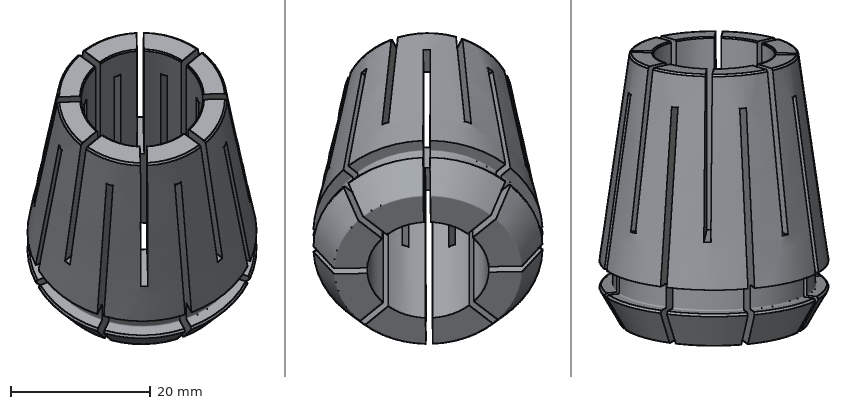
import cadquery as cq
import math

total_height = 40.0
cone_base_z = 9.1
groove_base_z = 5.5
rim_z = 5.15
nose_slot_top_z = 35.0
tail_slot_floor_z = 16.0

max_radius = 16.5
groove_radius = 14.6
nose_radius = 13.5
bore_radius = 17.5 / 2
cone_angle = 8.0

rim_chamfer = 0.3
tail_chamfer = 0.3
bore_chamfer = 0.2
groove_fillet = 0.2
nose_fillet = 0.2

slot_count = 8
slot_width = 1.0
slot_pitch = 360.0 / slot_count


def cone_radius(z):
    """Outer radius of the long clamping cone at height z."""
    return max_radius - (z - cone_base_z) * math.tan(math.radians(cone_angle))


def collet_body():
    """Revolved sleeve: nose cone, extraction groove, clamping cone and bore."""
    tail_edge_z = total_height - tail_chamfer
    tail_radius = cone_radius(tail_edge_z)
    profile = [
        (bore_radius, 0),
        (nose_radius, 0),
        (max_radius, rim_z),
        (max_radius - rim_chamfer, groove_base_z),
        (groove_radius, groove_base_z),
        (groove_radius, cone_base_z),
        (max_radius, cone_base_z),
        (tail_radius, tail_edge_z),
        (tail_radius - tail_chamfer, total_height),
        (bore_radius + bore_chamfer, total_height),
        (bore_radius, total_height - bore_chamfer),
    ]
    return cq.Workplane("XZ").polyline(profile).close().revolve(360, (0, 0), (0, 1))


def round_circle_edge(body, radius, z, fillet):
    """Fillet the circular edge of the given radius at height z."""
    tolerance = 0.005
    matching_edges = body.edges("%CIRCLE").filter(
        lambda edge: abs(edge.radius() - radius) < tolerance
        and abs(edge.arcCenter().z - z) < tolerance
    )
    return matching_edges.fillet(fillet)


def slot_set(bottom_z, top_z, start_angle):
    """Evenly spaced radial cutters, each reaching from the axis past the outer surface."""
    blade = cq.Workplane("XY").box(
        max_radius + slot_width, slot_width, top_z - bottom_z, centered=(False, True, False)
    ).translate((0, 0, bottom_z))
    cutters = cq.Workplane("XY")
    for index in range(slot_count):
        angle = start_angle + index * slot_pitch
        cutters = cutters.add(blade.rotate((0, 0, 0), (0, 0, 1), angle))
    return cutters.combine()


nose_slots = slot_set(0, nose_slot_top_z, 0)
tail_slots = slot_set(tail_slot_floor_z, total_height, slot_pitch / 2)

body = collet_body()
body = round_circle_edge(body, groove_radius, groove_base_z, groove_fillet)
body = round_circle_edge(body, groove_radius, cone_base_z, groove_fillet)
body = round_circle_edge(body, nose_radius, 0, nose_fillet)

result = body.cut(nose_slots).cut(tail_slots)